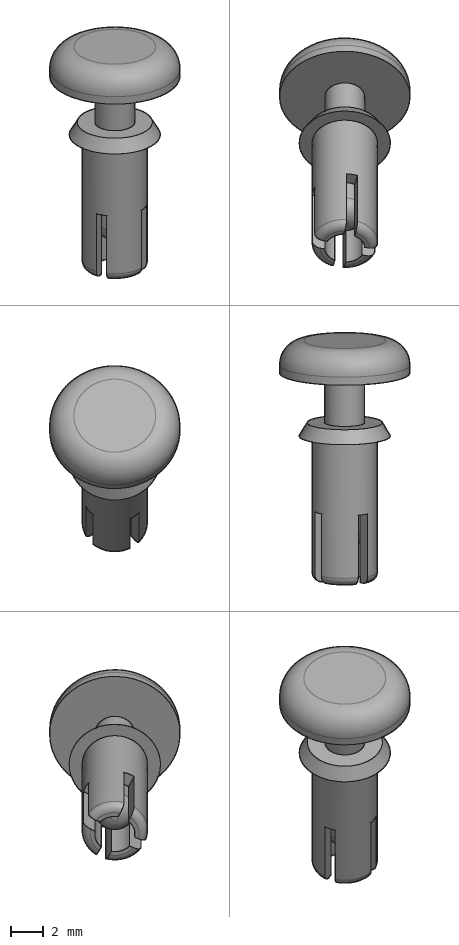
import cadquery as cq

total_height = 14.95

head_diameter = 8.0
head_height = 2.0
head_rounding = 1.5
pin_diameter = 2.45
pin_tip_z = 2.1
pin_tip_rounding = 1.0

sleeve_diameter = 4.0
sleeve_height = 9.84
sleeve_foot_rounding = 0.51
collar_top_diameter = 4.6
collar_bottom_diameter = 5.59
collar_height = 0.84
slot_width = 0.69
slot_height = 4.41


def make_pin():
    """Round pin with a rounded tip and a domed, flat-topped head."""
    head_bottom_z = total_height - head_height
    shank = (
        cq.Workplane("XY", origin=(0, 0, pin_tip_z))
        .circle(pin_diameter / 2)
        .extrude(head_bottom_z - pin_tip_z)
        .faces("<Z").edges().fillet(pin_tip_rounding)
    )
    head = (
        cq.Workplane("XY", origin=(0, 0, head_bottom_z))
        .circle(head_diameter / 2)
        .extrude(head_height)
        .faces(">Z").edges().fillet(head_rounding)
    )
    return shank.union(head)


def make_collar():
    """Conical collar at the top of the sleeve, widest at its underside."""
    bottom_radius = collar_bottom_diameter / 2
    top_radius = collar_top_diameter / 2
    bottom_z = sleeve_height - collar_height
    return (
        cq.Workplane("XZ")
        .moveTo(0, bottom_z)
        .lineTo(bottom_radius, bottom_z)
        .lineTo(top_radius, sleeve_height)
        .lineTo(0, sleeve_height)
        .close()
        .revolve(360, (0, 0, 0), (0, 1, 0))
    )


def make_sleeve():
    """Collared tube, bored for the pin and split by two crossing slots."""
    barrel = (
        cq.Workplane("XY")
        .circle(sleeve_diameter / 2)
        .extrude(sleeve_height)
        .faces("<Z").edges().fillet(sleeve_foot_rounding)
    )
    bore = cq.Workplane("XY").circle(pin_diameter / 2).extrude(sleeve_height)
    sleeve = barrel.union(make_collar()).cut(bore)

    for length_x, length_y in [
        (sleeve_diameter, slot_width),
        (slot_width, sleeve_diameter),
    ]:
        slot = cq.Workplane("XY").rect(length_x, length_y).extrude(slot_height)
        sleeve = sleeve.cut(slot)
    return sleeve


pin = make_pin()
sleeve = make_sleeve()

result = cq.Compound.makeCompound([pin.solids().val(), sleeve.solids().val()])